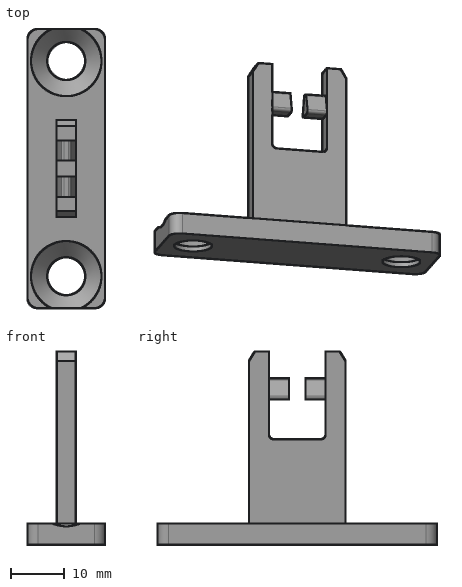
import cadquery as cq

base_width = 14.5
base_length = 52.0
base_thickness = 4.0
base_corner_radius = 2.05

hole_spacing = 40.05
hole_diameter = 7.0
countersink_diameter = 13.1
countersink_angle = 90.0

total_height = 36.0
fork_thickness = 3.6
fork_width = 18.0
tip_chamfer_width = 1.1
tip_chamfer_height = 1.75
slot_width = 10.5
slot_depth = 16.35
slot_corner_radius = 0.9

peg_length = 3.75
peg_height = 4.0
peg_top_drop = 5.0
peg_top_half_width = 0.8
peg_bottom_half_width = 2.0
peg_edge_radius = 0.5


def make_base():
    plate = (
        cq.Workplane("XY")
        .box(base_width, base_length, base_thickness, centered=(True, True, False))
        .edges("|Z")
        .fillet(base_corner_radius)
    )
    return (
        plate.faces(">Z")
        .workplane(origin=(0, 0, 0))
        .pushPoints([(0, -hole_spacing / 2), (0, hole_spacing / 2)])
        .cskHole(hole_diameter, countersink_diameter, countersink_angle)
    )


def make_fork():
    half_width = fork_width / 2
    shoulder = total_height - tip_chamfer_height
    upright = (
        cq.Workplane("YZ")
        .moveTo(-half_width, base_thickness)
        .lineTo(half_width, base_thickness)
        .lineTo(half_width, shoulder)
        .lineTo(half_width - tip_chamfer_width, total_height)
        .lineTo(-half_width + tip_chamfer_width, total_height)
        .lineTo(-half_width, shoulder)
        .close()
        .extrude(fork_thickness / 2, both=True)
    )
    slot = (
        cq.Workplane("XY", origin=(0, 0, total_height - slot_depth))
        .box(fork_thickness, slot_width, slot_depth, centered=(True, True, False))
        .edges("|X and <Z")
        .fillet(slot_corner_radius)
    )
    return upright.cut(slot)


def make_peg(side):
    """Peg on the +Y (side = 1) or -Y (side = -1) wall of the slot."""
    top = total_height - peg_top_drop
    bottom = top - peg_height
    return (
        cq.Workplane("XZ", origin=(0, side * slot_width / 2, 0))
        .moveTo(-peg_bottom_half_width, bottom)
        .lineTo(peg_bottom_half_width, bottom)
        .lineTo(peg_top_half_width, top)
        .lineTo(-peg_top_half_width, top)
        .close()
        .extrude(side * peg_length)
        .edges("|Y")
        .fillet(peg_edge_radius)
    )


result = make_base().union(make_fork())
for side in (-1, 1):
    result = result.union(make_peg(side))